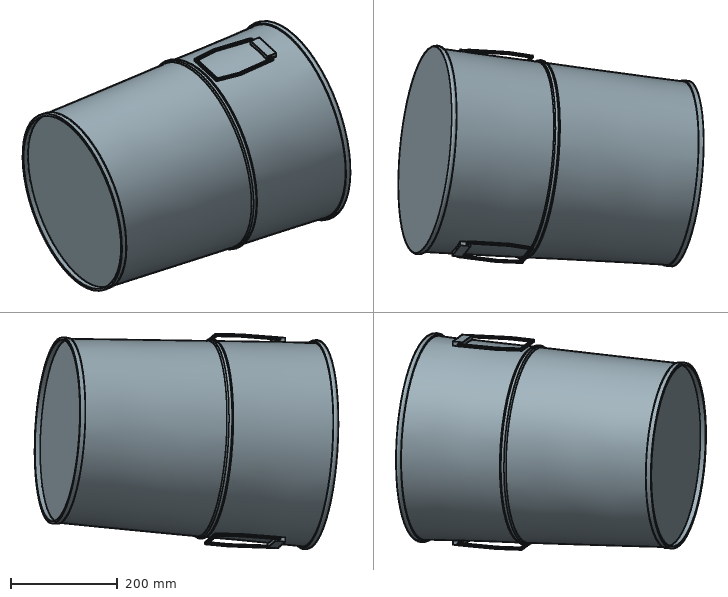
import cadquery as cq
height = 495.0
rim_radius = 197.0
rim_edge_radius = 194.5
rim_height = 10.0

wall_base_radius = 173.2
wall_top_radius = 192.0

foot_radius = 175.0
foot_height = 10.0
recess_radius = 171.0
recess_depth = 10.0

hoop_y = 288.0
hoop_radius = 188.0
hoop_ridge_width = 6.0
hoop_shoulder_radius = 186.0
hoop_foot_radius = 184.0
hoop_width = 13.0

wire_sides = 8
wire_thickness = 5.0
wire_z = 192.0
loop_end_half_width = 37.5
loop_widest_half_width = 44.5
loop_top_y = 420.5
loop_widest_y = 343.5
loop_bottom_y = 297.5

bracket_width = 59.5
bracket_length = 20.0
bracket_thickness = 8.5
bracket_y = 424.0


def make_body():
    """Solid of revolution: foot ring, conical wall, hoop and rim bead."""
    rim_bottom_y = height - rim_height
    rim_middle_y = height - rim_height / 2
    drum = (
        cq.Workplane("ZY")
        .lineTo(foot_radius, 0)
        .lineTo(foot_radius, foot_height)
        .lineTo(wall_base_radius, foot_height)
        .lineTo(wall_top_radius, rim_bottom_y)
        .lineTo(rim_edge_radius, rim_bottom_y)
        .threePointArc((rim_radius, rim_middle_y), (rim_edge_radius, height))
        .lineTo(0, height)
        .close()
        .revolve(360, (0, 0, 0), (0, 1, 0))
    )
    hoop = (
        cq.Workplane("ZY")
        .moveTo(0, hoop_y - hoop_width / 2)
        .lineTo(hoop_foot_radius, hoop_y - hoop_width / 2)
        .lineTo(hoop_shoulder_radius, hoop_y - hoop_ridge_width / 2)
        .threePointArc((hoop_radius, hoop_y), (hoop_shoulder_radius, hoop_y + hoop_ridge_width / 2))
        .lineTo(hoop_foot_radius, hoop_y + hoop_width / 2)
        .lineTo(0, hoop_y + hoop_width / 2)
        .close()
        .revolve(360, (0, 0, 0), (0, 1, 0))
    )
    recess = cq.Workplane("XZ").circle(recess_radius).extrude(-recess_depth)
    return drum.union(hoop).cut(recess)


def make_handle():
    """Wire loop and bracket on the +Z side."""
    half_outline = [
        (loop_end_half_width, loop_top_y),
        (loop_widest_half_width, loop_widest_y),
        (loop_end_half_width, loop_bottom_y),
    ]
    mirrored = [(-x, y) for x, y in reversed(half_outline)]
    path = (
        cq.Workplane("XY", origin=(0, 0, wire_z))
        .moveTo(0, loop_top_y)
        .polyline(half_outline + mirrored, includeCurrent=True)
        .close()
    )
    loop = (
        cq.Workplane("YZ", origin=(0, loop_top_y, wire_z))
        .transformed(rotate=(0, 0, 180 / wire_sides))
        .polygon(wire_sides, wire_thickness, circumscribed=True)
        .sweep(path, transition="round")
    )

    bracket = cq.Workplane("XY", origin=(0, bracket_y, wire_z)).box(
        bracket_width, bracket_length, bracket_thickness
    )
    return loop.union(bracket)


handle = make_handle()
result = make_body().union(handle).union(handle.mirror("XY"))